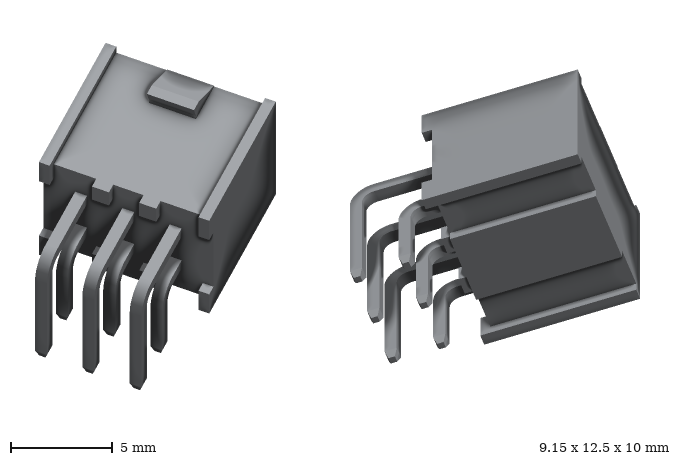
import cadquery as cq

width = 9.15
body_depth = 7.62
body_bottom = 2.66
body_top = 9.03

plate_thickness = 0.58
plate_bottom = 2.14
plate_top = 9.52
corner_foot_height = 1.53

foot_length = 0.53
foot_width = 0.91

key_width = 3.84

latch_width = 2.53
latch_top = 10.03
latch_length = 2.48
latch_ramp_run = 1.89
latch_heel_height = 0.06
latch_step_height = 0.24
latch_undercut = 0.25

pitch = 2.54
columns = 3
pin_size = 0.64
bend_inner_radius = 0.63
bend_outer_radius = bend_inner_radius + pin_size
tip_length = 0.46
tip_size = 0.34
pin_reach = 4.89
pin_crown = 7.43


def box(x_min, x_max, y_min, y_max, z_min, z_max):
    """Block given by its limits along each axis."""
    return cq.Workplane("XY").box(
        x_max - x_min, y_max - y_min, z_max - z_min, centered=False
    ).translate((x_min, y_min, z_min))


def extrude_across(sketch, thickness, x_center):
    """Extrude a YZ outline along X, centred on x_center."""
    return sketch.close().extrude(thickness / 2, both=True).translate((x_center, 0, 0))


def side_plate(x_center):
    """Side wall with a foot at its upper and lower pin-side corners."""
    outline = cq.Workplane("YZ").polyline([
        (body_depth, plate_bottom),
        (body_depth, plate_top),
        (-foot_length, plate_top),
        (-foot_length, plate_top - corner_foot_height),
        (0, plate_top - corner_foot_height),
        (0, plate_bottom + corner_foot_height),
        (-foot_length, plate_bottom + corner_foot_height),
        (-foot_length, plate_bottom),
    ])
    return extrude_across(outline, plate_thickness, x_center)


def foot(x_center, z_min, z_max):
    """Small stand-off block on the pin-side face."""
    return box(
        x_center - foot_width / 2, x_center + foot_width / 2,
        -foot_length, 0,
        z_min, z_max,
    )


def latch():
    """Ramp rising from the mating end to an undercut catch."""
    front = body_depth - latch_length
    outline = cq.Workplane("YZ").polyline([
        (body_depth, body_top),
        (body_depth, body_top + latch_heel_height),
        (body_depth - latch_ramp_run, latch_top),
        (front, latch_top),
        (front + latch_undercut, body_top + latch_step_height),
        (front + latch_undercut, body_top),
    ])
    return extrude_across(outline, latch_width, 0)


def bent_pin(x_center, reach, crown):
    """Square pin leaving the body, bent down through a right angle, with a tapered tip."""
    bend_y = -reach + bend_outer_radius
    bend_z = crown - bend_outer_radius
    outline = (
        cq.Workplane("YZ")
        .moveTo(0, crown)
        .lineTo(bend_y, crown)
        .radiusArc((-reach, bend_z), -bend_outer_radius)
        .lineTo(-reach, tip_length)
        .lineTo(-reach + pin_size, tip_length)
        .lineTo(-reach + pin_size, bend_z)
        .radiusArc((bend_y, crown - pin_size), bend_inner_radius)
        .lineTo(0, crown - pin_size)
    )
    tip = (
        cq.Workplane("XY", origin=(x_center, -reach + pin_size / 2, 0))
        .rect(tip_size, tip_size)
        .workplane(offset=tip_length)
        .rect(pin_size, pin_size)
        .loft()
    )
    return extrude_across(outline, pin_size, x_center).union(tip)


half_width = width / 2
result = box(
    plate_thickness - half_width, half_width - plate_thickness,
    0, body_depth,
    body_bottom, body_top,
)
result = result.union(box(-key_width / 2, key_width / 2, 0, body_depth, plate_bottom, body_bottom))
result = result.union(latch())

for side in (-1, 1):
    result = result.union(side_plate(side * (half_width - plate_thickness / 2)))

for side in (-1, 1):
    x_center = side * pitch / 2
    result = result.union(foot(x_center, body_bottom, plate_bottom + corner_foot_height))
    result = result.union(foot(x_center, plate_top - corner_foot_height, body_top))

for column in range(columns):
    x_center = (column - (columns - 1) / 2) * pitch
    for row in range(2):
        drop = row * pitch
        result = result.union(bent_pin(x_center, pin_reach - drop, pin_crown - drop))